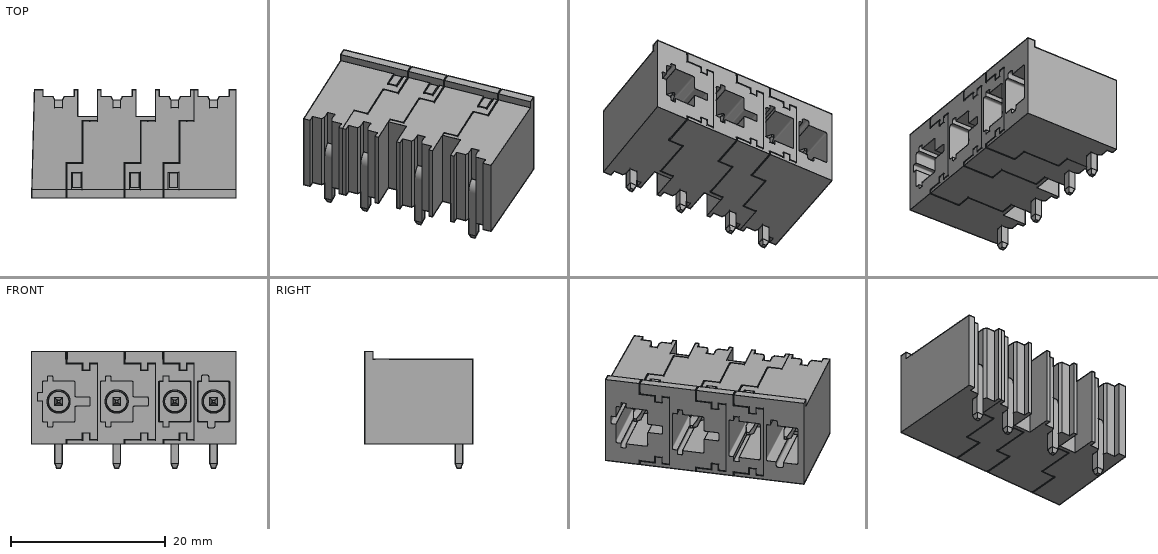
import cadquery as cq
import math


pin_x = [3.5, 11.0, 18.5, 23.5]
cell_half_width = 2.5
row_left = 0.0
row_right = 26.4
end_draft = math.radians(1.5)

depth = 14.0
body_height = 10.95
lip_height = 1.0
lip_depth = 1.1
total_height = body_height + lip_height

shelf_thickness = 0.6
clearance = 0.1
side_clearance = 0.15
wide_reach = 3.9
wide_end_y = 4.5
narrow_reach = 1.85
narrow_end_y = 9.95
key_width = 0.85
key_height = 0.8
key_clearance = 0.05

window_left = 3.35
window_width = 1.37
window_end_y = 3.33
peg_gap = 0.15
peg_start_y = 1.35
peg_end_y = 3.25
peg_rise = 0.05

gap_start_y = 10.55
back_pocket_half_width = 2.0
back_pocket_depth = 0.85
channel_mouth_half_width = 0.73

pin_z = 5.49
pin_size = 1.0
pin_leg_y = 12.18
pin_tip_y = 1.6
pin_point_length = 1.1
pin_point_size = 0.36
pin_bend_radius = 1.5
pin_bottom_z = -3.15
pin_foot_length = 0.65
pin_foot_size = 0.5

pocket_width = 4.2
pocket_height = 5.34
pocket_depth = 9.0
pocket_corner = 0.22
pocket_wall_inset = 0.1
boss_root_radius = 1.5
boss_tip_radius = 1.32
boss_length = 3.0

groove_reach = 3.3
groove_corner = 0.15
wide_pocket_groove = (-1.45, -0.75)
plain_pocket_groove = (-1.5, -0.72)
end_pocket_top_groove = (-1.58, -0.6)
end_pocket_bottom_groove = (-0.8, 0.18)
end_pocket_reach = 3.43
end_pocket_corner = 0.3
side_slot_reach = 4.08
side_slot_half_height = 0.6
side_slot_corner = 0.18
end_key_reach = 2.75
end_key_z = (0.05, 1.15)


def block(x_range, y_range, z_range):
    """Box between the given limits."""
    size = [limits[1] - limits[0] for limits in (x_range, y_range, z_range)]
    corner = (x_range[0], y_range[0], z_range[0])
    return cq.Workplane("XY").box(*size, centered=False).translate(corner)


def is_last(index):
    return index == len(pin_x) - 1


def right_side(index):
    """X of the right face of a housing, where the next one begins."""
    if is_last(index):
        return row_right
    return pin_x[index + 1] - cell_half_width


def left_side(index):
    return row_left if index == 0 else right_side(index - 1)


def is_wide(index):
    """True for a housing that reaches past its cell to the next one."""
    return not is_last(index) and right_side(index) > pin_x[index] + cell_half_width


def both_levels(top_shape):
    """A shape at the top of the body with its mirror image at the underside."""
    underside = top_shape.mirror("XY").translate((0, 0, body_height))
    return top_shape.union(underside)


def shelves(face_x):
    """Stepped, keyed shelves to the left of face_x, at the top and the underside."""
    shelf_z = (body_height - shelf_thickness + clearance, body_height)
    key_left = face_x - narrow_reach
    key_z = (body_height - shelf_thickness - key_height, body_height)
    wide = block((face_x - wide_reach, face_x), (0, wide_end_y), shelf_z)
    narrow = block((key_left, face_x), (0, narrow_end_y), shelf_z)
    key = block((key_left, key_left + key_width), (0, narrow_end_y), key_z)
    lip = block((face_x - wide_reach, face_x), (0, lip_depth), (shelf_z[0], total_height))
    window = block(
        (face_x - window_left, face_x - window_left + window_width),
        (lip_depth, window_end_y),
        (shelf_z[0], body_height),
    )
    return both_levels(wide.union(narrow).union(key)).union(lip).cut(window)


def shelf_recesses(face_x):
    """Room for the shelves of the next housing, cut into the housing that ends at face_x."""
    recess_z = (body_height - shelf_thickness, total_height)
    key_left = face_x - narrow_reach
    key_z = (body_height - shelf_thickness - key_height - key_clearance, total_height)
    wide_left = face_x - wide_reach - side_clearance
    wide = block((wide_left, face_x), (0, wide_end_y + clearance), recess_z)
    narrow_y = (0, narrow_end_y + clearance)
    narrow = block((key_left - clearance, face_x), narrow_y, recess_z)
    key_x = (key_left - clearance, key_left + key_width + key_clearance)
    key = block(key_x, narrow_y, key_z)
    return both_levels(wide.union(narrow).union(key))


def latch_peg(face_x):
    """Peg that stands on the recess floor and rises just above the neighbour's shelf."""
    peg_left = face_x - window_left + peg_gap
    peg_x = (peg_left, peg_left + window_width - 2 * peg_gap)
    return block(peg_x, (peg_start_y, peg_end_y), (body_height - shelf_thickness, body_height + peg_rise))


def groove(x_range, z_range, corner_edges, corner):
    """Straight groove of the pocket, given from the pin axis, with rounded outer corners."""
    cutter = block(x_range, (0, pocket_depth), z_range)
    if corner:
        cutter = cutter.edges(corner_edges).fillet(corner)
    return cutter


def top_groove(x_range, reach, corner):
    return groove(x_range, (0, reach), "|Y and >Z", corner)


def bottom_groove(x_range, reach, corner):
    return groove(x_range, (-reach, 0), "|Y and <Z", corner)


def side_slot():
    """Slot to the right of the pocket, with a rounded end."""
    slot_z = (-side_slot_half_height, side_slot_half_height)
    return groove((0, side_slot_reach), slot_z, "|Y and >X", side_slot_corner)


def pocket_walls(inset):
    """Main rectangular cavity about the pin axis, narrowing by inset on each side."""
    outline = cq.Sketch().rect(pocket_width, pocket_height).vertices().fillet(pocket_corner)
    draft = math.degrees(math.atan(inset / pocket_depth))
    return cq.Workplane("XZ").placeSketch(outline).extrude(-pocket_depth, taper=draft)


def round_slot_mouth(cavity):
    """Rounds the edges where the side slot opens into the main cavity."""
    mouth_x = pocket_width / 2
    reach = side_slot_half_height + clearance
    near_mouth = cq.selectors.BoxSelector(
        (mouth_x - clearance, 0, -reach), (mouth_x + clearance, pocket_depth, reach)
    )
    return cavity.edges("|Y").edges(near_mouth).fillet(side_slot_corner)


def pin_boss():
    """Tapered collar around the pin on the pocket floor."""
    return (
        cq.Workplane("XZ", origin=(0, pocket_depth, 0))
        .circle(boss_root_radius)
        .workplane(offset=boss_length)
        .circle(boss_tip_radius)
        .loft()
    )


def plug_pocket(index):
    """Cavity for the plug, around the pin axis; each cell has its own coding grooves."""
    if is_wide(index):
        cavity = round_slot_mouth(pocket_walls(0).union(side_slot()))
        cavity = cavity.union(top_groove(wide_pocket_groove, groove_reach, groove_corner))
        cavity = cavity.union(bottom_groove(wide_pocket_groove, groove_reach, groove_corner))
    elif is_last(index):
        cavity = pocket_walls(pocket_wall_inset)
        cavity = cavity.union(top_groove(end_pocket_top_groove, end_pocket_reach, end_pocket_corner))
        cavity = cavity.union(bottom_groove(end_pocket_bottom_groove, end_pocket_reach, end_pocket_corner))
    else:
        cavity = pocket_walls(pocket_wall_inset)
        cavity = cavity.union(top_groove(plain_pocket_groove, groove_reach, 0))
        cavity = cavity.union(bottom_groove(plain_pocket_groove, groove_reach, 0))
    if index == 0:
        cavity = cavity.union(groove((-end_key_reach, 0), end_key_z, "|Y and <X", groove_corner))
    return cavity.cut(pin_boss()).translate((pin_x[index], 0, pin_z))


def back_pocket(x):
    """Shallow pocket in the back face with the upright channel that takes the pin leg."""
    pocket_y = depth - back_pocket_depth
    leg_front = pin_leg_y - pin_size / 2
    leg_back = pin_leg_y + pin_size / 2
    half_leg = pin_size / 2
    pocket = block(
        (x - back_pocket_half_width, x + back_pocket_half_width),
        (pocket_y, depth),
        (0, body_height),
    )
    channel = (
        cq.Workplane("XY")
        .polyline([
            (x - half_leg, leg_front),
            (x + half_leg, leg_front),
            (x + half_leg, leg_back),
            (x + channel_mouth_half_width, pocket_y),
            (x - channel_mouth_half_width, pocket_y),
            (x - half_leg, leg_back),
        ])
        .close()
        .extrude(body_height)
    )
    return pocket.union(channel)


def end_draft_cut():
    """Wedge that leans the left end of the row inwards towards the back."""
    return (
        cq.Workplane("XY")
        .polyline([
            (row_left, 0),
            (row_left + depth * math.tan(end_draft), depth),
            (row_left, depth),
        ])
        .close()
        .extrude(total_height)
    )


def make_housing(index, pin):
    """Housing of one cell, with holes that match its pin."""
    x = pin_x[index]
    left = left_side(index)
    right = right_side(index)
    housing = block((left, right), (0, depth), (0, body_height))
    housing = housing.union(block((left, right), (0, lip_depth), (0, total_height)))
    if index == 0:
        housing = housing.cut(end_draft_cut())
    else:
        housing = housing.union(shelves(left))
    if not is_last(index):
        housing = housing.cut(shelf_recesses(right)).union(latch_peg(right))
    if is_wide(index):
        rear_gap_x = (x + cell_half_width, right)
        housing = housing.cut(block(rear_gap_x, (gap_start_y, depth), (0, body_height)))
    return housing.cut(plug_pocket(index)).cut(back_pocket(x)).cut(pin)


def make_pin(x):
    """Square pin bent from the plug axis down to the board, pointed at both ends."""
    half = pin_size / 2
    dome_radius = pin_point_size / 2
    point_end_y = pin_tip_y + dome_radius
    shank_start_y = point_end_y + pin_point_length
    foot_top_z = pin_bottom_z + pin_foot_length
    bend = pin_bend_radius - half
    path = (
        cq.Workplane("YZ")
        .moveTo(shank_start_y, pin_z)
        .lineTo(pin_leg_y - bend, pin_z)
        .radiusArc((pin_leg_y, pin_z - bend), bend)
        .lineTo(pin_leg_y, foot_top_z)
    )
    shank_start = cq.Workplane("XZ", origin=(0, shank_start_y, pin_z))
    shank = shank_start.rect(pin_size, pin_size).sweep(path)
    point = (
        shank_start.rect(pin_size, pin_size)
        .workplane(offset=pin_point_length)
        .rect(pin_point_size, pin_point_size)
        .loft()
    )
    dome = (
        cq.Workplane("XY", origin=(0, 0, pin_z))
        .moveTo(0, pin_tip_y)
        .radiusArc((dome_radius, point_end_y), -dome_radius)
        .lineTo(0, point_end_y)
        .close()
        .revolve(360, (0, 0, 0), (0, 1, 0))
    )
    foot = (
        cq.Workplane("XY", origin=(0, pin_leg_y, foot_top_z))
        .rect(pin_size, pin_size)
        .workplane(offset=-pin_foot_length)
        .rect(pin_foot_size, pin_foot_size)
        .loft()
    )
    return shank.union(point).union(dome).union(foot).translate((x, 0, 0))


pins = [make_pin(x) for x in pin_x]
housings = [make_housing(index, pin) for index, pin in enumerate(pins)]

result = cq.Compound.makeCompound([body.solids().val() for body in housings + pins])